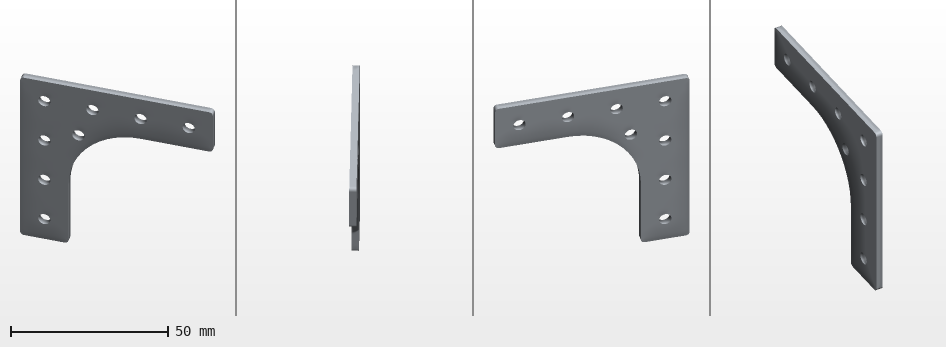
import cadquery as cq

side = 64.0
thickness = 2.3
arm_width = 16.0
inner_radius = 24.0
corner_radius = 1.2
hole_diameter = 4.0
hole_pitch = 16.0
holes_per_arm = 4
gusset_hole_inset = 19.3

left = -side / 2
right = side / 2
bottom = -side / 2
top = side / 2
back = thickness / 2
inner_x = left + arm_width
inner_z = top - arm_width


def make_plate():
    """L-shaped plate centred on the origin, with rounded corners."""
    plate = (
        cq.Workplane("XZ", origin=(0, back, 0))
        .moveTo(left, bottom)
        .lineTo(inner_x, bottom)
        .lineTo(inner_x, inner_z)
        .lineTo(right, inner_z)
        .lineTo(right, top)
        .lineTo(left, top)
        .close()
        .extrude(thickness)
    )
    inner_corner = cq.selectors.NearestToPointSelector((inner_x, 0, inner_z))
    plate = plate.edges("|Y").edges(inner_corner).fillet(inner_radius)

    return plate.edges("|Y and (<X or >X or <Z or >Z)").fillet(corner_radius)


def hole_centres():
    """Rows along both arms sharing the corner hole, plus one hole on the diagonal."""
    row_x = left + arm_width / 2
    row_z = top - arm_width / 2
    along_top = [(row_x + i * hole_pitch, row_z) for i in range(holes_per_arm)]
    down_left = [(row_x, row_z - i * hole_pitch) for i in range(1, holes_per_arm)]
    gusset = (left + gusset_hole_inset, top - gusset_hole_inset)
    return along_top + down_left + [gusset]


holes = (
    cq.Workplane("XZ", origin=(0, back, 0))
    .pushPoints(hole_centres())
    .circle(hole_diameter / 2)
    .extrude(thickness)
)
result = make_plate().cut(holes)